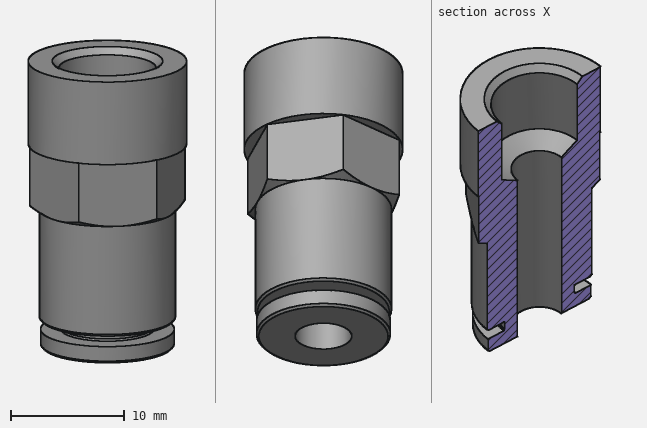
import cadquery as cq
import math

length = 26.0
head_diameter = 14.0
hex_across_flats = 12.0
hex_half_angle = 180 / 6
body_diameter = hex_across_flats
neck_diameter = 8.0
collar_diameter = 11.8

head_bottom = 18.45
hex_bottom = 12.53
body_bottom = 2.47
collar_top = 1.53

rim_break = 0.2
neck_flare_width = 0.08
neck_flare_height = 0.18
hex_chamfer_angle = 30.0

bore_diameter = 8.55
bore_mouth_diameter = 9.75
through_diameter = 5.0
bore_depth = 7.02
drill_point_angle = 120.0


def revolve_profile(points):
    """Turn a closed (radius, height) outline about the Z axis."""
    return cq.Workplane("XZ").polyline(points).close().revolve(360, (0, 0, 0), (0, 1, 0))


def turned_cylinder(diameter, bottom, top):
    """Cylinder with a narrow 45 degree chamfer around its lower rim."""
    radius = diameter / 2
    return revolve_profile([
        (0, bottom),
        (radius - rim_break, bottom),
        (radius, bottom + rim_break),
        (radius, top),
        (0, top),
    ])


def neck():
    """Neck that flares slightly where it meets the collar."""
    radius = neck_diameter / 2
    return revolve_profile([
        (0, collar_top),
        (radius + neck_flare_width, collar_top),
        (radius, collar_top + neck_flare_height),
        (radius, body_bottom),
        (0, body_bottom),
    ])


def hexagon():
    """Hexagon with flats on +X and -X, its lower corners cut by a cone."""
    across_corners = hex_across_flats / math.cos(math.radians(hex_half_angle))
    flat_radius = hex_across_flats / 2
    corner_radius = across_corners / 2
    chamfer_height = (corner_radius - flat_radius) * math.tan(math.radians(hex_chamfer_angle))
    prism = (
        cq.Workplane("XY")
        .workplane(offset=hex_bottom)
        .polygon(6, across_corners)
        .extrude(head_bottom - hex_bottom)
        .rotate((0, 0, 0), (0, 0, 1), hex_half_angle)
    )
    envelope = revolve_profile([
        (0, hex_bottom),
        (flat_radius, hex_bottom),
        (corner_radius, hex_bottom + chamfer_height),
        (corner_radius, head_bottom),
        (0, head_bottom),
    ])
    return prism.intersect(envelope)


def bore():
    """Blind bore with a 45 degree mouth and a conical floor into the through hole."""
    bore_radius = bore_diameter / 2
    mouth_radius = bore_mouth_diameter / 2
    through_radius = through_diameter / 2
    mouth_depth = mouth_radius - bore_radius
    floor_drop = (bore_radius - through_radius) / math.tan(math.radians(drill_point_angle / 2))
    return revolve_profile([
        (0, 0),
        (through_radius, 0),
        (through_radius, length - bore_depth - floor_drop),
        (bore_radius, length - bore_depth),
        (bore_radius, length - mouth_depth),
        (mouth_radius, length),
        (0, length),
    ])


head = cq.Workplane("XY").workplane(offset=head_bottom).circle(head_diameter / 2).extrude(length - head_bottom)
body = turned_cylinder(body_diameter, body_bottom, hex_bottom)
collar = turned_cylinder(collar_diameter, 0, collar_top)

result = head.union(hexagon()).union(body).union(neck()).union(collar).cut(bore())